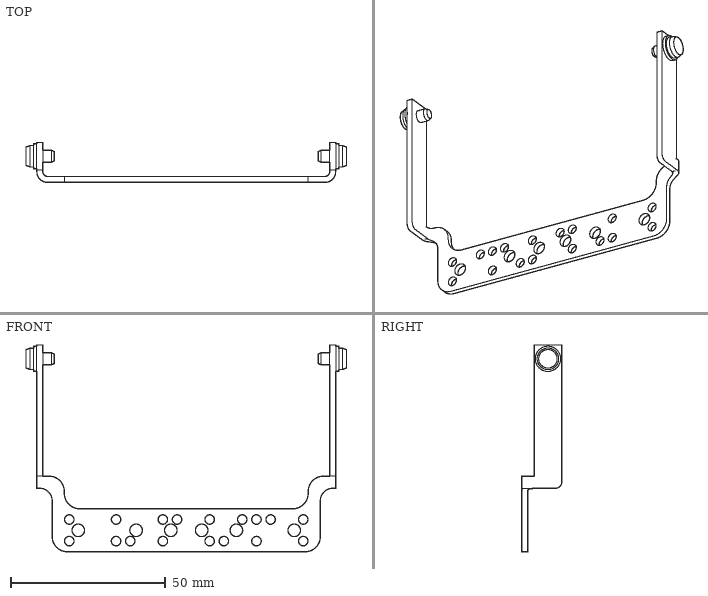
import cadquery as cq

OVERALL_WIDTH = 103.94
DEPTH = 13.0
HEIGHT = 67.1
THICKNESS = 2.0

FLANGE_DIAMETER = 8.2
FLANGE_LENGTH = 1.0
HEAD_DIAMETER = 7.0
HEAD_STRAIGHT_LENGTH = 1.2
HEAD_TIP_DIAMETER = 6.0
HEAD_LENGTH = 3.5
PIN_DIAMETER = 4.0
PIN_TIP_DIAMETER = 3.0
PIN_TIP_LENGTH = 1.0
PIN_LENGTH = 3.75

ARM_OUTER_X = OVERALL_WIDTH / 2 - HEAD_LENGTH
ARM_INNER_X = ARM_OUTER_X - THICKNESS
ARM_WIDTH = 9.0
ARM_FRONT_Y = DEPTH - ARM_WIDTH
ARM_CORNER_RADIUS = 2.0
BEND_INNER_RADIUS = 1.5
BEND_OUTER_RADIUS = BEND_INNER_RADIUS + THICKNESS
RIVET_Y = DEPTH - ARM_WIDTH / 2
RIVET_Z = HEIGHT - ARM_WIDTH / 2

PLATE_HALF_WIDTH = 43.5
PLATE_TOP_Z = 14.0
PLATE_CORNER_RADIUS = 5.0
SHOULDER_RADIUS = 5.0
SHOULDER_INNER_X = 39.5
SHOULDER_HEIGHT = 4.0
SHOULDER_TOP_Z = 24.6
SHOULDER_BOTTOM_Z = SHOULDER_TOP_Z - SHOULDER_HEIGHT
SHOULDER_LOWER_RADIUS = 4.0

HOLE_MIDDLE_Z = PLATE_TOP_Z / 2
ROW_OFFSET = 3.5
SMALL_HOLE_DIAMETER = 3.0
LARGE_HOLE_DIAMETER = 4.0
COLUMN_PITCH = 15.17
NEAR_COLUMN = COLUMN_PITCH / 2
MIDDLE_COLUMN = NEAR_COLUMN + COLUMN_PITCH
FAR_COLUMN = MIDDLE_COLUMN + COLUMN_PITCH
SIDE_HOLE_OFFSET = 4.6
LARGE_HOLE_XS = (5.0, 16.25, 35.0)
UPPER_ROW_XS = (
    -FAR_COLUMN,
    -MIDDLE_COLUMN,
    -NEAR_COLUMN,
    -NEAR_COLUMN + SIDE_HOLE_OFFSET,
    NEAR_COLUMN,
    MIDDLE_COLUMN - SIDE_HOLE_OFFSET,
    MIDDLE_COLUMN,
    MIDDLE_COLUMN + SIDE_HOLE_OFFSET,
    FAR_COLUMN,
)
LOWER_ROW_XS = (
    -FAR_COLUMN,
    -MIDDLE_COLUMN,
    -MIDDLE_COLUMN + SIDE_HOLE_OFFSET,
    -NEAR_COLUMN,
    NEAR_COLUMN,
    NEAR_COLUMN + SIDE_HOLE_OFFSET,
    MIDDLE_COLUMN,
    FAR_COLUMN,
)


def bent_sheet():
    """U-shaped sheet in plan, with rounded bends, at full height."""
    outer = (
        cq.Workplane("XY")
        .rect(2 * ARM_OUTER_X, 2 * DEPTH)
        .extrude(HEIGHT)
        .edges("|Z")
        .fillet(BEND_OUTER_RADIUS)
    )
    inner = (
        cq.Workplane("XY")
        .rect(2 * ARM_INNER_X, 2 * (DEPTH - THICKNESS))
        .extrude(HEIGHT)
        .edges("|Z")
        .fillet(BEND_INNER_RADIUS)
    )
    front_half = cq.Workplane("XY").box(OVERALL_WIDTH, DEPTH, HEIGHT, centered=(True, False, False))
    return outer.cut(inner).intersect(front_half.translate((0, -DEPTH, 0))).translate((0, DEPTH, 0))


def front_half_outline():
    """Front outline of the right half of the bracket, as a prism through the whole depth."""
    return (
        cq.Workplane("XZ")
        .lineTo(PLATE_HALF_WIDTH - PLATE_CORNER_RADIUS, 0)
        .radiusArc((PLATE_HALF_WIDTH, PLATE_CORNER_RADIUS), -PLATE_CORNER_RADIUS)
        .lineTo(PLATE_HALF_WIDTH, SHOULDER_BOTTOM_Z - SHOULDER_LOWER_RADIUS)
        .radiusArc((PLATE_HALF_WIDTH + SHOULDER_LOWER_RADIUS, SHOULDER_BOTTOM_Z), SHOULDER_LOWER_RADIUS)
        .lineTo(ARM_OUTER_X, SHOULDER_BOTTOM_Z)
        .lineTo(ARM_OUTER_X, HEIGHT)
        .lineTo(ARM_INNER_X, HEIGHT)
        .lineTo(ARM_INNER_X, SHOULDER_TOP_Z)
        .lineTo(SHOULDER_INNER_X + SHOULDER_RADIUS, SHOULDER_TOP_Z)
        .radiusArc((SHOULDER_INNER_X, SHOULDER_TOP_Z - SHOULDER_RADIUS), -SHOULDER_RADIUS)
        .lineTo(SHOULDER_INNER_X, PLATE_TOP_Z + SHOULDER_RADIUS)
        .radiusArc((SHOULDER_INNER_X - SHOULDER_RADIUS, PLATE_TOP_Z), SHOULDER_RADIUS)
        .lineTo(0, PLATE_TOP_Z)
        .close()
        .extrude(-DEPTH)
    )


def side_outline():
    """Side outline of the bracket, as a prism through the whole width."""
    return (
        cq.Workplane("YZ")
        .lineTo(0, SHOULDER_TOP_Z)
        .lineTo(ARM_FRONT_Y, SHOULDER_TOP_Z)
        .lineTo(ARM_FRONT_Y, HEIGHT)
        .lineTo(DEPTH, HEIGHT)
        .lineTo(DEPTH, SHOULDER_BOTTOM_Z + ARM_CORNER_RADIUS)
        .radiusArc((DEPTH - ARM_CORNER_RADIUS, SHOULDER_BOTTOM_Z), ARM_CORNER_RADIUS)
        .lineTo(BEND_OUTER_RADIUS, SHOULDER_BOTTOM_Z)
        .lineTo(BEND_OUTER_RADIUS, 0)
        .close()
        .extrude(ARM_OUTER_X, both=True)
    )


def bracket():
    """Bent sheet trimmed to its front and side outlines."""
    half_outline = front_half_outline()
    outline = half_outline.union(half_outline.mirror("YZ"))
    return bent_sheet().intersect(outline).intersect(side_outline())


def plate_holes(positions, diameter):
    """Cutters through the plate at the given (x, z) positions."""
    return cq.Workplane("XZ").pushPoints(positions).circle(diameter / 2).extrude(-THICKNESS)


def rivet():
    """Right-hand rivet: stepped head outside the arm, pin through it to the inside."""
    pin_end_x = ARM_INNER_X - PIN_LENGTH
    flange_end_x = ARM_OUTER_X + FLANGE_LENGTH
    taper_start_x = flange_end_x + HEAD_STRAIGHT_LENGTH
    head_end_x = ARM_OUTER_X + HEAD_LENGTH
    profile = (
        cq.Workplane("XY")
        .moveTo(pin_end_x, 0)
        .lineTo(pin_end_x, PIN_TIP_DIAMETER / 2)
        .lineTo(pin_end_x + PIN_TIP_LENGTH, PIN_DIAMETER / 2)
        .lineTo(ARM_OUTER_X, PIN_DIAMETER / 2)
        .lineTo(ARM_OUTER_X, FLANGE_DIAMETER / 2)
        .lineTo(flange_end_x, FLANGE_DIAMETER / 2)
        .lineTo(flange_end_x, HEAD_DIAMETER / 2)
        .lineTo(taper_start_x, HEAD_DIAMETER / 2)
        .lineTo(head_end_x, HEAD_TIP_DIAMETER / 2)
        .lineTo(head_end_x, 0)
        .close()
    )
    return profile.revolve(360, (0, 0, 0), (1, 0, 0)).translate((0, RIVET_Y, RIVET_Z))


small_positions = [(x, HOLE_MIDDLE_Z + ROW_OFFSET) for x in UPPER_ROW_XS]
small_positions += [(x, HOLE_MIDDLE_Z - ROW_OFFSET) for x in LOWER_ROW_XS]
large_positions = [(side * x, HOLE_MIDDLE_Z) for side in (-1, 1) for x in LARGE_HOLE_XS]

right_rivet = rivet()
result = (
    bracket()
    .cut(plate_holes(small_positions, SMALL_HOLE_DIAMETER))
    .cut(plate_holes(large_positions, LARGE_HOLE_DIAMETER))
    .union(right_rivet)
    .union(right_rivet.mirror("YZ"))
)